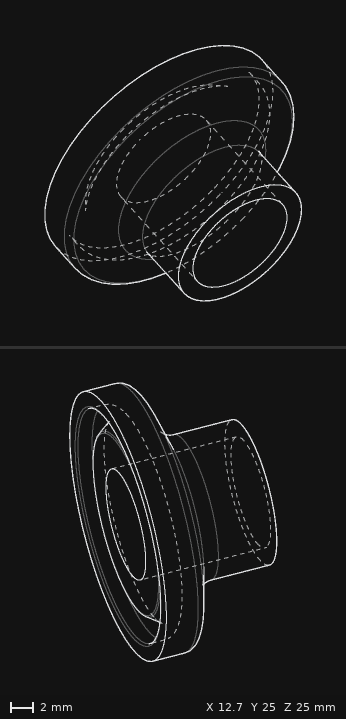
import cadquery as cq
import math

length = 12.7
flange_radius = 25 / 2
hub_radius = 13.5 / 2
bore_radius = 10.3 / 2

rim_width = 3.05
corner_round = 0.8
back_slope = math.radians(20)
hub_fillet = 2.0

face_setback = 0.75
groove_outer_radius = 21.8 / 2
lip_round = 0.2
groove_round = 0.8
groove_round_start = 1.55
inner_face_radius = 8.45
groove_slope = math.radians(35)


def arc_point(center, radius, angle):
    """Point (axial, radial) on an arc; the angle is measured from +X."""
    return (center[0] + radius * math.cos(angle), center[1] + radius * math.sin(angle))


def middle(first, last):
    return (first + last) / 2


quarter = math.pi / 2

corner_center = (rim_width, flange_radius - corner_round)
corner_end = arc_point(corner_center, corner_round, back_slope)

fillet_center_radius = hub_radius + hub_fillet
fillet_start_angle = math.pi + back_slope
fillet_start_radius = fillet_center_radius + hub_fillet * math.sin(fillet_start_angle)
fillet_start_x = corner_end[0] + (corner_end[1] - fillet_start_radius) * math.tan(back_slope)
fillet_center = (fillet_start_x + hub_fillet * math.cos(back_slope), fillet_center_radius)

inner_lip_center = (face_setback + lip_round, inner_face_radius)
inner_lip_end_angle = quarter + groove_slope
groove_center = (groove_round_start, groove_outer_radius - groove_round)
groove_end_angle = groove_slope - quarter
outer_lip_center = (lip_round, groove_outer_radius + lip_round)


def add_arc(outline, center, radius, start_angle, end_angle):
    """Continue the outline with an arc that ends at end_angle."""
    return outline.threePointArc(
        arc_point(center, radius, middle(start_angle, end_angle)),
        arc_point(center, radius, end_angle),
    )


outline = cq.Workplane("XY").moveTo(0, flange_radius).lineTo(rim_width, flange_radius)
outline = add_arc(outline, corner_center, corner_round, quarter, back_slope)
outline = outline.lineTo(fillet_start_x, fillet_start_radius)
outline = add_arc(outline, fillet_center, hub_fillet, fillet_start_angle, 3 * quarter)

outline = outline.lineTo(length, hub_radius).lineTo(length, bore_radius)
outline = outline.lineTo(face_setback, bore_radius).lineTo(face_setback, inner_face_radius)

outline = add_arc(outline, inner_lip_center, lip_round, math.pi, inner_lip_end_angle)
outline = outline.lineTo(*arc_point(groove_center, groove_round, groove_end_angle))
outline = add_arc(outline, groove_center, groove_round, groove_end_angle, quarter)
outline = outline.lineTo(lip_round, groove_outer_radius)
outline = add_arc(outline, outer_lip_center, lip_round, 3 * quarter, math.pi)

result = outline.close().revolve(360, (0, 0, 0), (1, 0, 0))